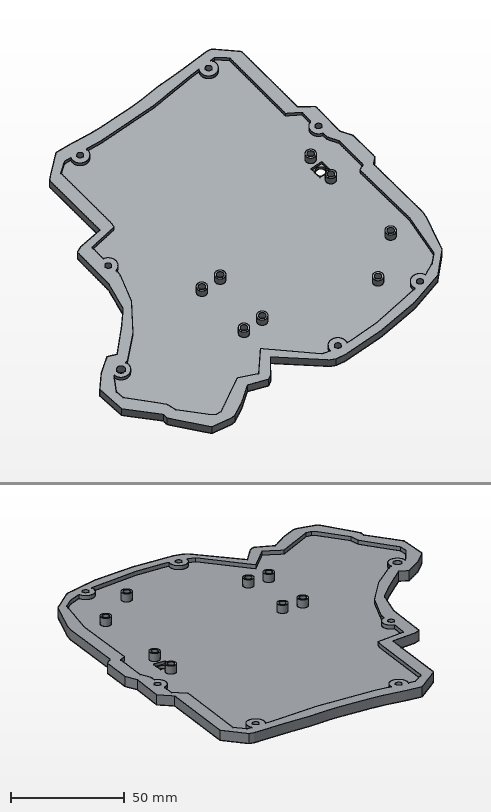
import cadquery as cq

floor_height = 3.0
rim_height = 5.0
standoff_height = 7.0

screw_hole_diameter = 3.0
large_screw_hole_diameter = 4.0
screw_boss_diameter = 8.6
standoff_diameter = 5.0
standoff_bore_diameter = 3.2

layout_tilt = 10
reset_center = (79.4, 143.8)
reset_hole_diameter = 5.0
reset_recess_side = 6.1
reset_recess_depth = 1.5

outer_outline = [
    (0, 133.5), (7.5, 144.2), (45.9, 151.0), (49.6, 158.0), (66.5, 160.7), (71.3, 164.6), (86.2, 167.3), (89.2, 164.8),
    (122.5, 170.9), (126.1, 170.9), (144.4, 168.4), (155.9, 159.8), (163.7, 143.7), (169.8, 123.6), (173.5, 103.2), (173.5, 98.5),
    (172.7, 95.8), (158.5, 74.0), (167.0, 69.5), (168.7, 67.4), (167.0, 57.7), (173.8, 51.0), (178.6, 44.8), (179.1, 42.8),
    (179.1, 33.0), (167.0, 19.9), (165.2, 18.1), (162.8, 17.7), (151.2, 3.2), (137.2, 0), (129.9, 4.8),
    (123.2, 11.5), (124.3, 16.0), (112.3, 24.9), (103.9, 30.5), (89.2, 31.5), (67.4, 28.0), (65.5, 30.6), (61.8, 42.5),
    (27.4, 36.4), (24.9, 38.3), (16.5, 45.5), (15.5, 46.2), (14.7, 54.1), (14.0, 64.3), (13.3, 70.0), (10.2, 87.5),
    (9, 93.0), (6.3, 102.6), (4.8, 110.0), (3.5, 115.9), (0, 131.1),
]

floor_outline = [
    (4.7, 132.4), (8.0, 138), (46.4, 144.5), (49.5, 151.2), (55.2, 152.1), (63.8, 153.7), (66.5, 154.2), (71.0, 157.8),
    (87.2, 160.7), (89.2, 158.0), (122.5, 164.3), (144.4, 164.3), (149.0, 160.7), (152.8, 155.5), (157.3, 147.5),
    (165.2, 124.0), (168.2, 108.7), (168.5, 98.0), (168.2, 94.5), (152.5, 72.4), (164.0, 65.0), (161.4, 55.7),
    (173.8, 40.7), (174.1, 38.0), (173.4, 36.2), (163.2, 23.6), (158.9, 21.9), (155.3, 17.7), (146.2, 6.8), (142.0, 5.7),
    (133.8, 9.1), (129.5, 18.3), (117.3, 28.0), (102.3, 35.6), (87.0, 38.3), (84.5, 38.0), (75.6, 36.0),
    (68.3, 35.0), (63.5, 48.7), (61.0, 48.7), (26.3, 42.6), (21.7, 47.1), (21.1, 50.7), (20.5, 59.1), (19.7, 66.8),
    (14.3, 96.2), (8.0, 118.2), (7.0, 122.7),
]

screw_centers = [(8.5, 127.2), (59.5, 153.9), (155.0, 151.4), (167.7, 102.8), (22.0, 54.8), (80.5, 36.2)]
large_screw_center = (132.4, 13.5)

standoff_centers = [
    (72.2, 142.8), (86.2, 145.1), (125.8, 153.0), (144.7, 136.0),
    (138.5, 81.2), (140.3, 71.0), (110.0, 76.0), (111.8, 65.7),
]


def cylinders(centers, diameter, bottom, top):
    """Equal upright cylinders between two heights."""
    base = cq.Workplane("XY", origin=(0, 0, bottom))
    return base.pushPoints(centers).circle(diameter / 2).extrude(top - bottom)


def make_tray():
    """Plate with a raised rim that widens into a boss around every screw hole."""
    plate = cq.Workplane("XY").polyline(outer_outline).close().extrude(rim_height)
    pocket_start = cq.Workplane("XY", origin=(0, 0, floor_height))
    pocket = pocket_start.polyline(floor_outline).close().extrude(rim_height - floor_height)
    bosses = cylinders(screw_centers + [large_screw_center], screw_boss_diameter, floor_height, rim_height)
    tray = plate.cut(pocket.cut(bosses))
    tray = tray.cut(cylinders(screw_centers, screw_hole_diameter, 0, rim_height))
    return tray.cut(cylinders([large_screw_center], large_screw_hole_diameter, 0, rim_height))


def add_standoffs(tray):
    """Hollow posts on the floor, bored down to floor level."""
    posts = cylinders(standoff_centers, standoff_diameter, 0, standoff_height)
    bores = cylinders(standoff_centers, standoff_bore_diameter, floor_height, standoff_height)
    return tray.union(posts).cut(bores)


def cut_reset_opening(tray):
    """Square recess in the floor and the round hole through it."""
    recess = (
        cq.Workplane("XY")
        .rect(reset_recess_side, reset_recess_side)
        .extrude(reset_recess_depth)
        .rotate((0, 0, 0), (0, 0, 1), layout_tilt)
        .translate((*reset_center, floor_height - reset_recess_depth))
    )
    return tray.cut(recess).cut(cylinders([reset_center], reset_hole_diameter, 0, floor_height))


result = cut_reset_opening(add_standoffs(make_tray()))